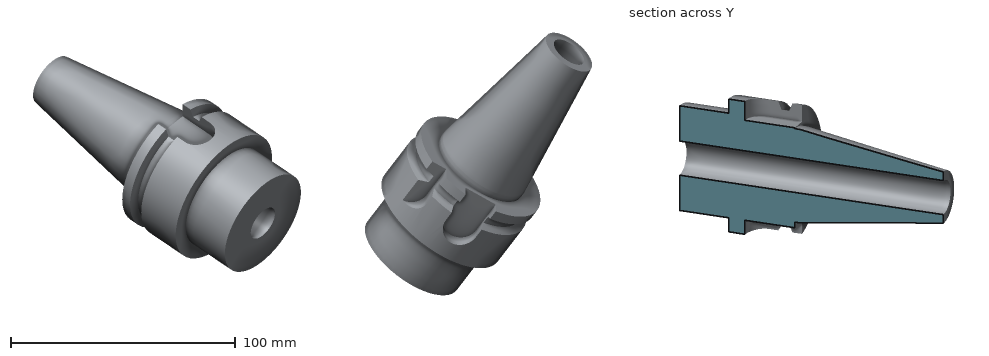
import cadquery as cq

total_length = 127.3
taper_end = 68.4
neck_start = 69.9
flange_start = 71.5
flange_lip = 4.7
groove_wall_run = 1.5
groove_floor_length = 3.7
body_end = 103.7

taper_small_radius = 12.3
taper_large_radius = 22.3
neck_radius = 22.4
flange_radius = 31.76
groove_floor_radius = 28.1
shank_radius = 25.1
bore_radius = 8.0

slot_radius = 8.0
top_slot_floor = 22.8
bottom_slot_floor = 25.1
notch_inner_y = 18.3
notch_ceiling = 18.6

groove_start = flange_start + flange_lip
groove_floor_start = groove_start + groove_wall_run
groove_floor_end = groove_floor_start + groove_floor_length
groove_end = groove_floor_end + groove_wall_run
slot_center_x = groove_end + flange_lip


def turned_body():
    """Taper, neck, grooved flange and shank, revolved about X."""
    profile = [
        (0, 0),
        (0, taper_small_radius),
        (taper_end, taper_large_radius),
        (neck_start, neck_radius),
        (flange_start, neck_radius),
        (flange_start, flange_radius),
        (groove_start, flange_radius),
        (groove_floor_start, groove_floor_radius),
        (groove_floor_end, groove_floor_radius),
        (groove_end, flange_radius),
        (body_end, flange_radius),
        (body_end, shank_radius),
        (total_length, shank_radius),
        (total_length, 0),
    ]
    return cq.Workplane("XY").polyline(profile).close().revolve(360, (0, 0, 0), (1, 0, 0))


def round_ended_slot(center_y, floor_z, direction):
    """Cutter open at the flange face, running outward along Z from its floor."""
    return (
        cq.Workplane("XY", origin=(0, center_y, floor_z))
        .moveTo(flange_start, -slot_radius)
        .lineTo(slot_center_x, -slot_radius)
        .threePointArc((slot_center_x + slot_radius, 0), (slot_center_x, slot_radius))
        .lineTo(flange_start, slot_radius)
        .close()
        .extrude(direction * flange_radius)
    )


bore = cq.Workplane("YZ").circle(bore_radius).extrude(total_length)
top_slot = round_ended_slot(0, top_slot_floor, 1)
bottom_slot = round_ended_slot(0, -bottom_slot_floor, -1)
orientation_notch = round_ended_slot(notch_inner_y + slot_radius, -notch_ceiling, -1)

result = turned_body()
for cutter in (bore, top_slot, bottom_slot, orientation_notch):
    result = result.cut(cutter)